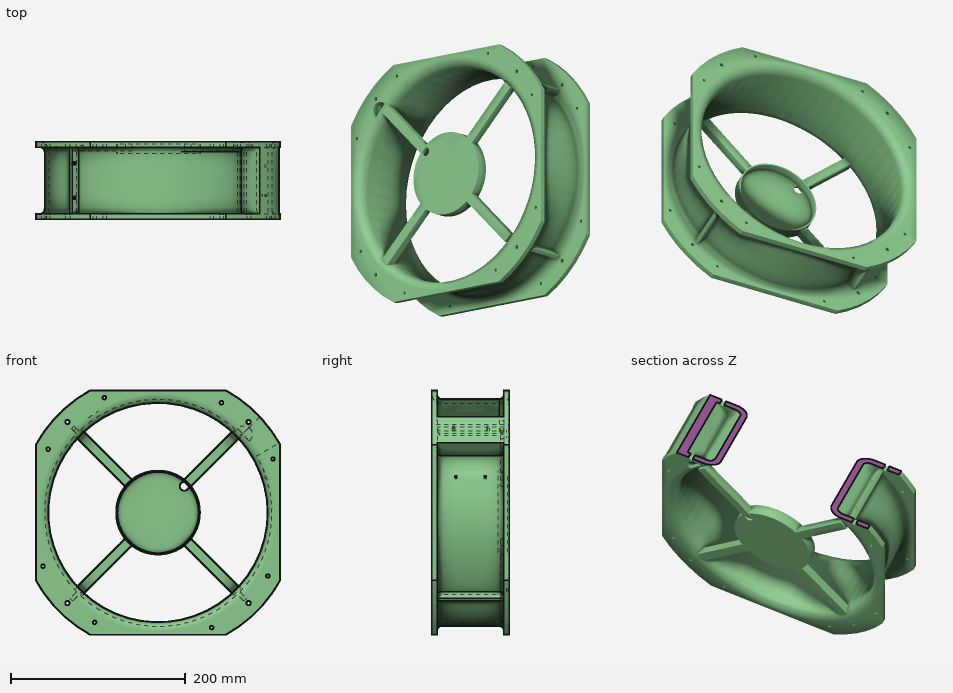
import cadquery as cq
import math

side = 280.0
depth = 89.0
flange_thickness = 6.5
corner_radius = 160.2

bore_radius = 125.5
flare_radius = 10.5
fillet_radius = 5.0
wall = 4.8
duct_outer_radius = bore_radius + wall

hub_radius = 48.2
hub_wall = 1.7
hub_depth = 13.2
hub_floor = 2.5
hub_hole_diameter = 10.0
hub_hole_distance = 42.5
spoke_width = 11.2
spoke_depth = 10.5
spoke_edge_radius = 1.55

fin_thickness = 4.2
fin_tip_radius = 140.8
fin_angles = (135, 225, 315)
pierced_fin_angle = 135
block_face_offset = 4.5
block_end_angle = 30

corner_hole_diameter = 4.8
corner_hole_distance = 146.7
edge_hole_diameter = 4.0
edge_hole_distance = 145.3
edge_hole_angles = (25, 60)
fin_hole_diameter = 3.5
fin_hole_distance = 136.5
fin_hole_offset = 20.0
wall_hole_diameter = 2.2
wall_hole_angle = 18.5
wall_hole_offset = 16.8
cable_hole_diameter = 19.5
cable_hole_distance = 133.0
cable_hole_angle = 42.5
cable_hole_lip_radius = 132.5

front = -depth / 2
rear = depth / 2
front_gap = front + flange_thickness
gap = depth - 2 * flange_thickness
spoke_angles = (45, 135, 225, 315)


def section(y):
    """Sketch plane facing the rear, with local x = X and local y = -Z."""
    return cq.Workplane("XZ", origin=(0, y, 0)).transformed(rotate=(180, 0, 0))


def disc(radius, y, length):
    return section(y).circle(radius).extrude(length)


def turned(body, angle):
    """Turn a body about the fan axis, from +X towards +Z."""
    return body.rotate((0, 0, 0), (0, 1, 0), -angle)


def bar(r_start, r_end, low, high, y, length, angle=0):
    """Radial bar along an angle, between two offsets measured square to that direction."""
    blank = cq.Workplane("XY").box(r_end - r_start, length, high - low, centered=False)
    return turned(blank.translate((r_start, y, low)), angle)


def polar(distance, angle):
    a = math.radians(angle)
    return distance * math.cos(a), distance * math.sin(a)


def axial_hole(diameter, distance, angle, y, length):
    x, z = polar(distance, angle)
    return disc(diameter / 2, y, length).translate((x, 0, z))


def flange_blank(y, length):
    square = cq.Workplane("XY").box(side, length, side).translate((0, y + length / 2, 0))
    return square.intersect(disc(corner_radius, y, length))


def flared_solid(radius, round_radius, half_length):
    """Solid of revolution: a cylinder widening at both ends in quarter rounds."""
    straight = half_length - round_radius
    middle = round_radius * math.sqrt(0.5)
    centre_r = radius + round_radius
    profile = (
        cq.Workplane("XY")
        .moveTo(0, -half_length)
        .lineTo(centre_r, -half_length)
        .threePointArc((centre_r - middle, -straight - middle), (radius, -straight))
        .lineTo(radius, straight)
        .threePointArc((centre_r - middle, straight + middle), (centre_r, half_length))
        .lineTo(0, half_length)
        .close()
    )
    return profile.revolve(360, (0, 0, 0), (0, 1, 0))


def corner_block():
    """Block filling the flange gap from just below 45 degrees down to its end angle.

    Its inner face lies inside the duct wall.
    """
    above_end = bar(0, side, 0, side, front_gap, gap, block_end_angle)
    below_face = bar(0, side, -side, -block_face_offset, front_gap, gap, 45)
    block = flange_blank(front_gap, gap).intersect(above_end).intersect(below_face)
    return block.cut(disc(bore_radius + wall / 2, front, depth))


def hub():
    cup = disc(hub_radius, rear - hub_depth, hub_depth)
    recess_depth = hub_depth - hub_floor
    recess = disc(hub_radius - hub_wall, rear - hub_depth, recess_depth)
    hole = axial_hole(hub_hole_diameter, hub_hole_distance, 45, rear - hub_floor, hub_floor)
    inside = disc(hub_radius - hub_wall, rear - hub_floor, hub_floor)
    return cup.cut(recess).cut(hole.intersect(inside))


def spoke(angle):
    half = spoke_width / 2
    start = hub_radius - hub_wall / 2
    blank = bar(start, bore_radius + wall / 2, -half, half, rear - spoke_depth, spoke_depth)
    rounded = blank.edges("|X and <Y").fillet(spoke_edge_radius)
    return turned(rounded, angle)


frame = flange_blank(front, flange_thickness)
frame = frame.union(flange_blank(rear - flange_thickness, flange_thickness))
frame = frame.union(flared_solid(duct_outer_radius, fillet_radius, gap / 2))
half_fin = fin_thickness / 2
for fin_angle in fin_angles:
    frame = frame.union(
        bar(bore_radius, fin_tip_radius, -half_fin, half_fin, front_gap, gap, fin_angle)
    )
frame = frame.cut(flared_solid(bore_radius, flare_radius, depth / 2))

cable_hole_depth = flange_thickness + fillet_radius
cable_hole_y = rear - cable_hole_depth
cable_hole = axial_hole(
    cable_hole_diameter, cable_hole_distance, cable_hole_angle, cable_hole_y, cable_hole_depth
)
frame = frame.cut(cable_hole.cut(disc(cable_hole_lip_radius, cable_hole_y, cable_hole_depth)))

frame = frame.union(corner_block())

for y in (front, rear - flange_thickness):
    for quarter in range(4):
        turn = 90 * quarter
        frame = frame.cut(
            axial_hole(corner_hole_diameter, corner_hole_distance, 45 + turn, y, flange_thickness)
        )
        for angle in edge_hole_angles:
            frame = frame.cut(
                axial_hole(edge_hole_diameter, edge_hole_distance, angle + turn, y, flange_thickness)
            )

for y in (-fin_hole_offset, fin_hole_offset):
    drill = (
        cq.Workplane("XY", origin=(fin_hole_distance, y, -fin_thickness))
        .circle(fin_hole_diameter / 2)
        .extrude(2 * fin_thickness)
    )
    frame = frame.cut(turned(drill, pierced_fin_angle))

for y in (-wall_hole_offset, wall_hole_offset):
    drill = (
        cq.Workplane("YZ", origin=(bore_radius - wall, y, 0))
        .circle(wall_hole_diameter / 2)
        .extrude(3 * wall)
    )
    frame = frame.cut(turned(drill, wall_hole_angle))

result = frame.union(hub())
for angle in spoke_angles:
    result = result.union(spoke(angle))